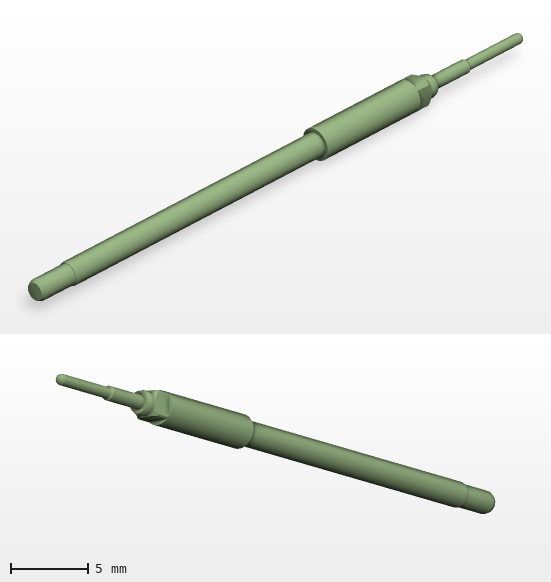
import cadquery as cq

total_length = 44.3

stub_length = 2.95
barrel_length = 22.6
grip_length = 8.4
square_length = 1.35
ring_length = 0.65
sleeve_length = 3.32

rear_end = -total_length / 2
stub_front = rear_end + stub_length
barrel_front = stub_front + barrel_length
grip_front = barrel_front + grip_length
square_front = grip_front + square_length
ring_front = square_front + ring_length
sleeve_front = ring_front + sleeve_length
tip_end = total_length / 2

stub_diameter = 1.55
barrel_diameter = 1.73
grip_diameter = 2.3
ring_diameter = 1.7
sleeve_diameter = 0.97
needle_diameter = 0.75

across_flats = 1.73

stub_chamfer_length = 0.3
stub_chamfer_depth = 0.15
barrel_chamfer_length = 0.18
barrel_chamfer_depth = 0.05
ring_chamfer_length = 0.3
ring_chamfer_depth = 0.1
sleeve_chamfer = 0.15


def rod(diameter, rear, front):
    """Cylinder along Y between two stations."""
    return cq.Workplane("XZ", origin=(0, front, 0)).circle(diameter / 2).extrude(front - rear)


def cone_ended_rod(diameter, rear, front, length, depth):
    """Cylinder along Y whose front edge tapers inward by depth over length."""
    radius = diameter / 2
    half_profile = [
        (0, rear),
        (radius, rear),
        (radius, front - length),
        (radius - depth, front),
        (0, front),
    ]
    return cq.Workplane("XY").polyline(half_profile).close().revolve(axisStart=(0, 0), axisEnd=(0, 1))


def rear_taper_rod(diameter, rear, front, length, depth):
    """Cylinder along Y whose rear edge tapers inward by depth over length."""
    return cone_ended_rod(diameter, -front, -rear, length, depth).mirror("XZ")


def make_square_section():
    """Square with corners on the grip diameter and a 45 degree cone at its front."""
    cone_size = (grip_diameter - across_flats) / 2
    blank = cone_ended_rod(grip_diameter, grip_front, square_front, cone_size, cone_size)
    square = cq.Workplane("XY").box(across_flats, square_length, across_flats)
    return blank.intersect(square.translate((0, grip_front + square_length / 2, 0)))


def make_needle():
    """Needle with a hemispherical tip."""
    radius = needle_diameter / 2
    sphere_centre = tip_end - radius
    tip = cq.Workplane("XY").sphere(radius).translate((0, sphere_centre, 0))
    return rod(needle_diameter, sleeve_front, sphere_centre).union(tip)


stub = rear_taper_rod(
    stub_diameter, rear_end, stub_front, stub_chamfer_length, stub_chamfer_depth
)
barrel = rear_taper_rod(
    barrel_diameter, stub_front, barrel_front, barrel_chamfer_length, barrel_chamfer_depth
)
grip = rod(grip_diameter, barrel_front, grip_front)
square_section = make_square_section()
ring = cone_ended_rod(
    ring_diameter, square_front, ring_front, ring_chamfer_length, ring_chamfer_depth
)
sleeve = rod(sleeve_diameter, ring_front, sleeve_front).faces(">Y").edges().chamfer(sleeve_chamfer)
needle = make_needle()

result = stub
for section in (barrel, grip, square_section, ring, sleeve, needle):
    result = result.union(section)